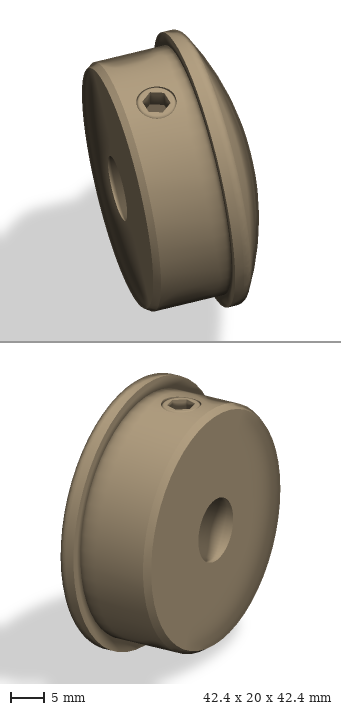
import cadquery as cq
import math

total_length = 20.0
bore_radius = 5.0
hub_radius = 19.2
hub_length = 12.0
hub_chamfer_length = 1.0
hub_chamfer_depth = 0.68
flange_radius = 21.2
dome_radius = 40.0
flange_rounding = 1.5
rim_tolerance = 0.005

screw_y = 6.05
screw_radius = 3.0
screw_top_z = 19.1
screw_cone_base_z = 4.3
screw_tip_z = 3.0
screw_tip_radius = 0.4
screw_rounding = 0.5
socket_corner_radius = 2.1
socket_depth = 3.0
socket_turn = 10.0

dome_center_y = total_length - math.sqrt(dome_radius**2 - bore_radius**2)


def dome_y(radius):
    """Y of the dome surface at a distance from the knob axis."""
    return dome_center_y + math.sqrt(dome_radius**2 - radius**2)


def make_knob():
    """Hub, flange and dome with a through bore and a radial screw hole."""
    dome_middle_radius = (flange_radius + bore_radius) / 2
    body = (
        cq.Workplane("XY")
        .moveTo(bore_radius, 0)
        .lineTo(hub_radius - hub_chamfer_depth, 0)
        .lineTo(hub_radius, hub_chamfer_length)
        .lineTo(hub_radius, hub_length)
        .lineTo(flange_radius, hub_length)
        .lineTo(flange_radius, dome_y(flange_radius))
        .threePointArc(
            (dome_middle_radius, dome_y(dome_middle_radius)),
            (bore_radius, total_length),
        )
        .close()
        .revolve(360, (0, 0), (0, 1))
    )
    rim_edges = [
        edge for edge in body.edges("%CIRCLE").vals()
        if abs(edge.Center().y - dome_y(flange_radius)) < rim_tolerance
    ]
    body = body.newObject(rim_edges).fillet(flange_rounding)

    screw_hole = (
        cq.Workplane("XY")
        .center(0, screw_y)
        .circle(screw_radius)
        .extrude(flange_radius)
    )
    return body.cut(screw_hole)


def make_set_screw():
    """Blunt cone-point screw with a rounded top rim and a hexagon socket."""
    shank = (
        cq.Workplane("XZ", origin=(0, screw_y, 0))
        .moveTo(0, screw_tip_z)
        .lineTo(screw_tip_radius, screw_tip_z)
        .lineTo(screw_radius, screw_cone_base_z)
        .lineTo(screw_radius, screw_top_z)
        .lineTo(0, screw_top_z)
        .close()
        .revolve(360, (0, 0), (0, 1))
        .faces(">Z")
        .edges()
        .fillet(screw_rounding)
    )
    socket = (
        cq.Workplane("XY", origin=(0, screw_y, screw_top_z))
        .transformed(rotate=(0, 0, socket_turn))
        .polygon(6, 2 * socket_corner_radius)
        .extrude(-socket_depth)
    )
    return shank.cut(socket)


knob = make_knob()
set_screw = make_set_screw()

result = cq.Compound.makeCompound([knob.val(), set_screw.val()])